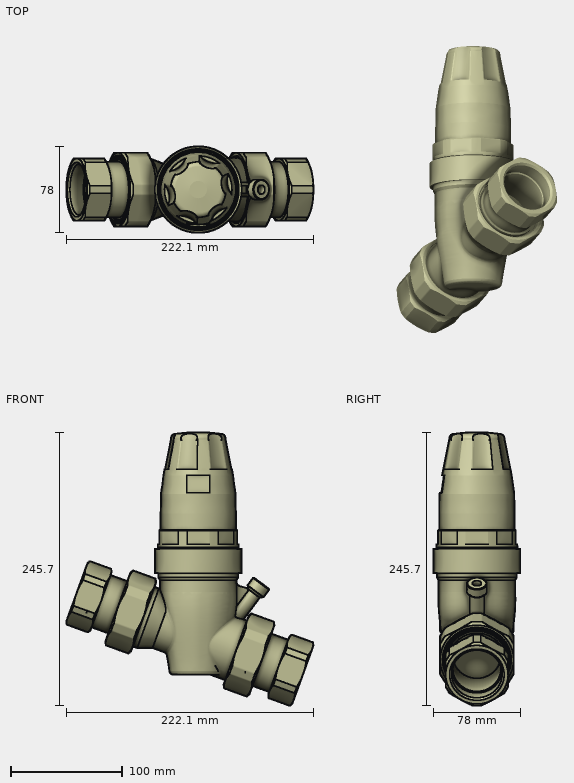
import cadquery as cq
import math


PORT_TILT = 20.0
INLET_FACE = 66.6
OUTLET_FACE = 50.6
THREAD_DIAMETER = 60.4
PORT_DIAMETER = 57.0
SPIGOT_LENGTH = 13.0
INLET_CONE_START = 48.0
INLET_CONE_END = 35.0
INLET_THROAT_DIAMETER = 47.5
INLET_BLEND = 3.0
OUTLET_BLEND = 2.0

NUT_BACK = -14.5
NUT_FRONT = 10.3
NUT_ACROSS_FLATS = 66.5
NUT_ACROSS_CORNERS = 71.6
NUT_CORNER_ROUND = 3.0
NUT_FACE_DIAMETER = 66.0
NUT_LIP_BORE = 57.2
NUT_LIP_END = 7.8
NUT_MOUTH_DIAMETER = 59.4
NUT_MOUTH_CHAMFER = 1.2

FLANGE_THICKNESS = 5.0
FLANGE_DIAMETER = 59.4
COLLAR_DIAMETER = 54.0
COLLAR_END = 9.0
NECK_DIAMETER = 50.0
TAIL_BORE = 43.0
TAIL_HEX_START = 26.2
TAIL_END = 49.4
TAIL_ACROSS_FLATS = 56.0
TAIL_ACROSS_CORNERS = 60.8
TAIL_FACE_DIAMETER = 56.0
SOCKET_DIAMETER = 45.5
SOCKET_DEPTH = 14.5
SOCKET_CHAMFER = 1.75
BORE_BEVEL = 0.6
HEX_CHAMFER_ANGLE = 30.0

BASE_Z = -34.4
BASE_FILLET = 4.0
BASE_RADIUS = 25.6
BELLY_RADIUS = 28.8
BELLY_Z = -14.0
WAIST_RADIUS = 33.6
WAIST_Z = 16.0
BARREL_RADIUS = 34.5
BARREL_Z = 40.2
RIM_CONE_Z = 50.6
RIM_BEVEL_RADIUS = 35.2
RIM_BEVEL_Z = 51.9
RIM_RADIUS = 36.0
RIM_Z = 53.2
COLLAR_RADIUS = 77.97 / 2
COLLAR_BOTTOM_Z = 57.0
COLLAR_TOP_Z = 78.7
GROOVE_HEIGHT = 1.4
GROOVE_RADIUS = 35.0
SPANNER_RADIUS = 73.0 / 2
SPANNER_SHOULDER_Z = 83.0
SPANNER_TOP_Z = 96.0
SPANNER_FLAT_DISTANCE = 35.1
SPANNER_FLATS = 8
SPANNER_CHAMFER = 1.0

CAP_RADIUS = 34.0
CAP_CYLINDER_TOP_Z = 110.4
CAP_BAND_RADIUS = 33.65
CAP_BAND_Z = 128.1
GRIP_BOTTOM_RADIUS = 31.4
GRIP_BOTTOM_Z = 144.6
GRIP_TOP_RADIUS = 24.9
GRIP_TOP_Z = 177.0
CROWN_RADIUS = 20.8
CROWN_Z = 182.0
CROWN_SHOULDER_RADIUS = 23.8
CROWN_SHOULDER_Z = 180.4
BUTTON_RADIUS = 7.8
TOP_Z = 183.4

GRIP_COUNT = 6
GRIP_PHASE = 9.5
GRIP_CUTTER_RADIUS = 18.0
GRIP_FLOOR_Z = 150.0
GRIP_FLOOR_BOTTOM_RADIUS = 26.7
GRIP_FLOOR_TOP_RADIUS = 21.2
GRIP_SIDE_LENGTH = 15.0
GRIP_EDGE_ROUND = 1.5

WINDOW_WIDTH = 20.3
WINDOW_BOTTOM_Z = 128.9
WINDOW_DEPTH = 2.4

NOZZLE_TILT = 36.6
NOZZLE_END_X = 56.7
NOZZLE_END_Z = 47.8
NOZZLE_HEAD_DIAMETER = 18.0
NOZZLE_HEAD_LENGTH = 11.3
NOZZLE_NECK_DIAMETER = 13.0
NOZZLE_LENGTH = 45.0
NOZZLE_END_CHAMFER = 0.6
NOZZLE_HEAD_CHAMFER = 2.4
NOZZLE_HOLE_DIAMETER = 7.95
NOZZLE_HOLE_DEPTH = 10.0
RIB_WIDTH = 6.5
RIB_TOP_Z = 45.5
RIB_ROOT_Z = 47.5
RIB_SHOULDER_X = 36.5
RIB_TIP_X = 43.0
RIB_TIP_Z = 43.8
RIB_BOTTOM_Z = 20.0


def point_along_outlet(shape, distance):
    """Carry a shape built along +Z onto the outlet axis, its Z = 0 at the given distance."""
    return shape.translate((0, 0, distance)).rotate((0, 0, 0), (0, 1, 0), 90 + PORT_TILT)


def point_along_inlet(shape, distance):
    return point_along_outlet(shape, distance).rotate((0, 0, 0), (0, 1, 0), 180)


def turned(points):
    """Solid of revolution about Z from a closed (radius, z) outline."""
    return cq.Workplane("XZ").polyline(points).close().revolve(360, (0, 0, 0), (0, 1, 0))


def cylinder(diameter, bottom, top):
    return cq.Workplane("XY").workplane(offset=bottom).circle(diameter / 2).extrude(top - bottom)


def hex_prism(across_flats, across_corners, face_diameter, bottom, top, corner_round=0.0):
    """Hexagon with flats on +Y and -Y, trimmed corners and conical chamfers at both ends."""
    base = cq.Workplane("XY").workplane(offset=bottom)
    hexagon = base.polygon(6, across_flats, circumscribed=True).extrude(top - bottom)
    trim = base.polygon(6, across_corners, circumscribed=True).extrude(top - bottom)
    prism = hexagon.rotate((0, 0, 0), (0, 0, 1), 30).intersect(trim)
    if corner_round:
        prism = prism.edges("|Z").fillet(corner_round)
    face_radius = face_diameter / 2
    outer_radius = across_flats
    drop = (outer_radius - face_radius) * math.tan(math.radians(HEX_CHAMFER_ANGLE))
    middle = (bottom + top) / 2
    upper = turned([(0, middle), (outer_radius, middle), (outer_radius, top - drop),
                    (face_radius, top), (0, top)])
    lower = upper.mirror("XY", (0, 0, middle))
    return prism.intersect(upper.union(lower))


def union_nut():
    nut = hex_prism(NUT_ACROSS_FLATS, NUT_ACROSS_CORNERS, NUT_FACE_DIAMETER,
                    NUT_BACK, NUT_FRONT, NUT_CORNER_ROUND)
    nut = nut.cut(cylinder(THREAD_DIAMETER, NUT_BACK, FLANGE_THICKNESS))
    nut = nut.cut(cylinder(NUT_LIP_BORE, FLANGE_THICKNESS, NUT_FRONT))
    mouth_radius = NUT_MOUTH_DIAMETER / 2
    mouth = turned([
        (0, NUT_LIP_END),
        (mouth_radius, NUT_LIP_END),
        (mouth_radius, NUT_FRONT - NUT_MOUTH_CHAMFER),
        (mouth_radius + NUT_MOUTH_CHAMFER, NUT_FRONT),
        (0, NUT_FRONT),
    ])
    return nut.cut(mouth)


def tailpiece():
    tail = hex_prism(TAIL_ACROSS_FLATS, TAIL_ACROSS_CORNERS, TAIL_FACE_DIAMETER, TAIL_HEX_START, TAIL_END)
    tail = tail.union(cylinder(FLANGE_DIAMETER, 0, FLANGE_THICKNESS))
    tail = tail.union(cylinder(COLLAR_DIAMETER, 0, COLLAR_END))
    tail = tail.union(cylinder(NECK_DIAMETER, 0, TAIL_HEX_START))
    socket_radius = SOCKET_DIAMETER / 2
    bore_radius = TAIL_BORE / 2
    socket_floor = TAIL_END - SOCKET_DEPTH
    bore = turned([
        (0, 0),
        (bore_radius, 0),
        (bore_radius, socket_floor - BORE_BEVEL),
        (bore_radius + BORE_BEVEL, socket_floor),
        (socket_radius, socket_floor),
        (socket_radius, TAIL_END - SOCKET_CHAMFER),
        (socket_radius + SOCKET_CHAMFER, TAIL_END),
        (0, TAIL_END),
    ])
    return tail.cut(bore)


def barrel():
    """Turned core of the valve body, from the rounded base up to the spanner ring."""
    return (
        cq.Workplane("XZ")
        .moveTo(0, BASE_Z)
        .lineTo(BASE_RADIUS, BASE_Z)
        .spline([(BELLY_RADIUS, BELLY_Z), (WAIST_RADIUS, WAIST_Z), (BARREL_RADIUS, BARREL_Z)],
                includeCurrent=True)
        .lineTo(BARREL_RADIUS, RIM_CONE_Z)
        .lineTo(RIM_BEVEL_RADIUS, RIM_BEVEL_Z)
        .lineTo(RIM_RADIUS, RIM_Z)
        .lineTo(RIM_RADIUS, COLLAR_BOTTOM_Z)
        .lineTo(COLLAR_RADIUS, COLLAR_BOTTOM_Z)
        .lineTo(COLLAR_RADIUS, COLLAR_TOP_Z)
        .lineTo(GROOVE_RADIUS, COLLAR_TOP_Z)
        .lineTo(GROOVE_RADIUS, COLLAR_TOP_Z + GROOVE_HEIGHT)
        .lineTo(SPANNER_RADIUS, COLLAR_TOP_Z + GROOVE_HEIGHT)
        .lineTo(SPANNER_RADIUS, SPANNER_TOP_Z)
        .lineTo(0, SPANNER_TOP_Z)
        .close()
        .revolve(360, (0, 0, 0), (0, 1, 0))
        .faces("<Z")
        .edges()
        .fillet(BASE_FILLET)
    )


def spanner_ring(core):
    """Core with its octagon of spanner flats cut and the top edge chamfered."""
    return core.cut(spanner_flats()).faces(">Z").edges().chamfer(SPANNER_CHAMFER)


def spanner_flats():
    """Material outside the octagon of spanner flats."""
    height = SPANNER_TOP_Z - SPANNER_SHOULDER_Z
    ring = cq.Workplane("XY").workplane(offset=SPANNER_SHOULDER_Z)
    octagon = ring.polygon(SPANNER_FLATS, 2 * SPANNER_FLAT_DISTANCE, circumscribed=True).extrude(height)
    return ring.circle(COLLAR_RADIUS).extrude(height).cut(octagon)


def cap():
    """Turned adjusting cap with a domed crown, six scalloped grips and a window at -Y."""
    knob = (
        cq.Workplane("XZ")
        .moveTo(0, SPANNER_TOP_Z)
        .lineTo(CAP_RADIUS, SPANNER_TOP_Z)
        .lineTo(CAP_RADIUS, CAP_CYLINDER_TOP_Z)
        .lineTo(CAP_BAND_RADIUS, CAP_BAND_Z)
        .lineTo(GRIP_BOTTOM_RADIUS, GRIP_BOTTOM_Z)
        .lineTo(GRIP_TOP_RADIUS, GRIP_TOP_Z)
        .threePointArc((CROWN_SHOULDER_RADIUS, CROWN_SHOULDER_Z), (CROWN_RADIUS, CROWN_Z))
        .lineTo(BUTTON_RADIUS, TOP_Z)
        .lineTo(0, TOP_Z)
        .close()
        .revolve(360, (0, 0, 0), (0, 1, 0))
    )
    spacing = 360 / GRIP_COUNT
    for index in range(GRIP_COUNT):
        knob = knob.cut(grip_cutter().rotate((0, 0, 0), (0, 0, 1), (index + 0.5) * spacing))
    grip_sides = [
        edge for edge in knob.edges().vals()
        if edge.geomType() == "BSPLINE" and edge.BoundingBox().zlen > GRIP_SIDE_LENGTH
    ]
    knob = knob.newObject(grip_sides).fillet(GRIP_EDGE_ROUND)
    knob = knob.rotate((0, 0, 0), (0, 0, 1), GRIP_PHASE - spacing / 2)
    return knob.cut(window_cutter())


def grip_cutter():
    """Leaning cylinder whose inner side forms the floor of the grip that faces +X."""
    rise = TOP_Z - GRIP_FLOOR_Z
    lean = math.degrees(math.atan2(GRIP_FLOOR_BOTTOM_RADIUS - GRIP_FLOOR_TOP_RADIUS, rise))
    start = (GRIP_FLOOR_BOTTOM_RADIUS + GRIP_CUTTER_RADIUS, 0, GRIP_FLOOR_Z)
    roller = (
        cq.Workplane("XY")
        .circle(GRIP_CUTTER_RADIUS)
        .extrude(2 * rise, both=True)
        .rotate((0, 0, 0), (0, 1, 0), -lean)
        .translate(start)
    )
    reach = 2 * COLLAR_RADIUS
    above_floor = cq.Workplane("XY").box(reach, reach, 2 * rise, centered=(True, True, False))
    return roller.intersect(above_floor.translate(start))


def window_cutter():
    """Leaning flat recess between the grip edge and the band, with its floor parallel to the cone."""
    outside = -COLLAR_RADIUS
    profile = [
        (outside, WINDOW_BOTTOM_Z),
        (WINDOW_DEPTH - CAP_BAND_RADIUS, WINDOW_BOTTOM_Z),
        (WINDOW_DEPTH - GRIP_BOTTOM_RADIUS, GRIP_BOTTOM_Z),
        (outside, GRIP_BOTTOM_Z),
    ]
    return cq.Workplane("YZ").polyline(profile).close().extrude(WINDOW_WIDTH / 2, both=True)


def inlet_port():
    thread_radius = THREAD_DIAMETER / 2
    port_radius = PORT_DIAMETER / 2
    throat_radius = INLET_THROAT_DIAMETER / 2
    thread_start = INLET_FACE - SPIGOT_LENGTH
    port = turned([
        (0, 0),
        (throat_radius, 0),
        (throat_radius, INLET_CONE_END),
        (port_radius, INLET_CONE_START),
        (port_radius, thread_start),
        (thread_radius, thread_start),
        (thread_radius, INLET_FACE),
        (0, INLET_FACE),
    ])
    return point_along_inlet(port, 0)


def outlet_port():
    port = cylinder(PORT_DIAMETER, 0, OUTLET_FACE)
    port = port.union(cylinder(THREAD_DIAMETER, OUTLET_FACE - SPIGOT_LENGTH, OUTLET_FACE))
    return point_along_outlet(port, 0)


def place_nozzle(shape):
    """Carry a shape built downwards from the XY plane to the nozzle's end face."""
    leaning = shape.rotate((0, 0, 0), (0, 1, 0), NOZZLE_TILT)
    return leaning.translate((NOZZLE_END_X, 0, NOZZLE_END_Z))


def nozzle():
    head = cylinder(NOZZLE_HEAD_DIAMETER, -NOZZLE_HEAD_LENGTH, 0)
    head = head.faces("<Z").chamfer(NOZZLE_HEAD_CHAMFER).faces(">Z").chamfer(NOZZLE_END_CHAMFER)
    neck = cylinder(NOZZLE_NECK_DIAMETER, -NOZZLE_LENGTH, -NOZZLE_END_CHAMFER)
    return place_nozzle(head.union(neck))


def nozzle_rib():
    """Upright web that ties the nozzle neck to the barrel."""
    tilt = math.radians(NOZZLE_TILT)
    head_x = NOZZLE_END_X - NOZZLE_HEAD_LENGTH * math.sin(tilt)
    head_z = NOZZLE_END_Z - NOZZLE_HEAD_LENGTH * math.cos(tilt)
    outline = [(0, RIB_ROOT_Z), (BARREL_RADIUS, RIB_ROOT_Z), (RIB_SHOULDER_X, RIB_TOP_Z), (RIB_TIP_X, RIB_TIP_Z),
               (head_x, head_z), (BARREL_RADIUS, RIB_BOTTOM_Z), (0, RIB_BOTTOM_Z)]
    return cq.Workplane("XZ").polyline(outline).close().extrude(RIB_WIDTH / 2, both=True)


def blended_port(body, port, side, blend):
    """Join a port to the barrel and fillet their long meeting lines on one side in X."""
    joined = body.union(port)
    meeting_lines = [
        edge for edge in joined.edges().vals()
        if edge.geomType() == "BSPLINE"
        and edge.Center().x * side > 0
        and edge.Center().z < BARREL_Z
        and edge.BoundingBox().ylen > PORT_DIAMETER / 3
    ]
    return joined.newObject(meeting_lines).fillet(blend)


def valve_body():
    body = spanner_ring(barrel()).union(cap())
    body = blended_port(body, inlet_port(), -1, INLET_BLEND)
    body = blended_port(body, outlet_port(), 1, OUTLET_BLEND)
    body = body.union(nozzle_rib()).union(nozzle())
    return body.cut(place_nozzle(cylinder(NOZZLE_HOLE_DIAMETER, -NOZZLE_HOLE_DEPTH, 0)))


body = valve_body()
inlet_nut = point_along_inlet(union_nut(), INLET_FACE)
inlet_tail = point_along_inlet(tailpiece(), INLET_FACE)
outlet_nut = point_along_outlet(union_nut(), OUTLET_FACE)
outlet_tail = point_along_outlet(tailpiece(), OUTLET_FACE)

result = cq.Compound.makeCompound([
    body.val(),
    inlet_nut.val(),
    inlet_tail.val(),
    outlet_nut.val(),
    outlet_tail.val(),
])